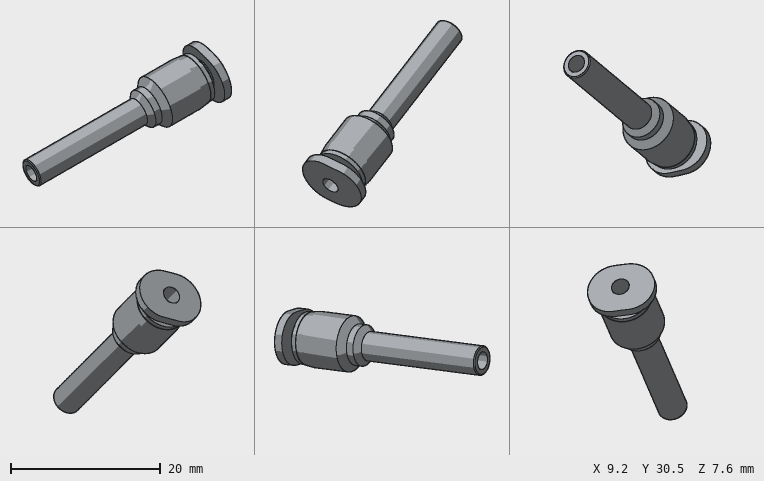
import cadquery as cq

length = 30.5
bore_diameter = 2.4
stem_diameter = 4.0
stem_radius = stem_diameter / 2
tip_chamfer = 0.15

button_depth = 1.52
neck_flare = 0.15
collar_depth = 2.4
taper_start_depth = 3.08
body_start_depth = 4.45
body_end_depth = 9.67

body_diameter = 7.6
body_radius = body_diameter / 2
taper_small_radius = 3.63
collar_radius = 3.57
neck_radius = 2.1
shoulder_radius = 2.8
shoulder_length = 1.05

button_width = 9.2
button_height = 7.25
face_radius = 2.45
face_cone_depth = 0.37

shoulder_start_depth = body_end_depth + body_radius - shoulder_radius
shoulder_end_depth = shoulder_start_depth + shoulder_length
stem_start_depth = shoulder_end_depth + shoulder_radius - stem_radius

face_y = length / 2


def revolve_profile(profile):
    """Revolve (radius, depth) points, closed along the axis, about Y."""
    points = [(radius, face_y - depth) for radius, depth in profile]
    return cq.Workplane("XY").polyline(points).close().revolve(360, (0, 0, 0), (0, 1, 0))


def make_turned_body():
    return revolve_profile([
        (0, button_depth),
        (neck_radius + neck_flare, button_depth),
        (neck_radius, button_depth + neck_flare),
        (neck_radius, collar_depth),
        (collar_radius, collar_depth),
        (collar_radius, taper_start_depth),
        (taper_small_radius, taper_start_depth),
        (body_radius, body_start_depth),
        (body_radius, body_end_depth),
        (shoulder_radius, shoulder_start_depth),
        (shoulder_radius, shoulder_end_depth),
        (stem_radius, stem_start_depth),
        (stem_radius, length - tip_chamfer),
        (stem_radius - tip_chamfer, length),
        (0, length),
    ])


def make_button():
    slot = (
        cq.Workplane("XZ", origin=(0, face_y, 0))
        .slot2D(button_width, button_height)
        .extrude(button_depth)
    )
    face_cone = revolve_profile([
        (0, 0),
        (face_radius, 0),
        (button_width / 2, face_cone_depth),
        (button_width / 2, button_depth),
        (0, button_depth),
    ])
    return slot.intersect(face_cone)


bore = cq.Workplane("XZ", origin=(0, face_y, 0)).circle(bore_diameter / 2).extrude(length)

result = make_turned_body().union(make_button()).cut(bore)